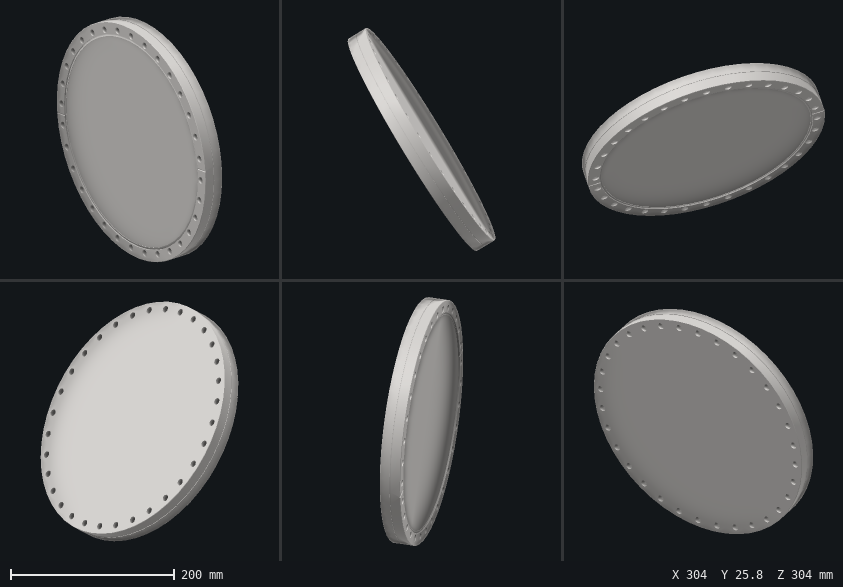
import cadquery as cq
import math

flange_diameter = 304.0
flange_radius = flange_diameter / 2
thickness = 25.8
front_y = -thickness / 2
back_y = thickness / 2
rim_chamfer = 0.5

rim_groove_width = 1.0
rim_groove_depth = 0.5

bolt_count = 32
bolt_pitch = 360 / bolt_count
bolt_circle_radius = 142.0
bolt_hole_diameter = 8.5

recess_diameter = 273.0
recess_radius = recess_diameter / 2
knife_radius = 133.8
knife_depth = 0.75
knife_angle = 20
centre_depth = 1.37
knife_fall = (recess_radius - knife_radius) * math.tan(math.radians(knife_angle))
recess_depth = knife_depth + knife_fall

leak_groove_radius = 1.05
leak_groove_angle = bolt_pitch / 2
leak_groove_overlap = 0.5


def flange_body():
    """Solid of revolution about Y, with the recess, rim groove and chamfers in the profile."""
    groove_floor_radius = flange_radius - rim_groove_depth
    groove_half_width = rim_groove_width / 2
    profile = (
        cq.Workplane("XY")
        .moveTo(0, front_y + centre_depth)
        .lineTo(knife_radius, front_y + centre_depth)
        .lineTo(knife_radius, front_y + knife_depth)
        .lineTo(recess_radius, front_y + recess_depth)
        .lineTo(recess_radius, front_y)
        .lineTo(flange_radius - rim_chamfer, front_y)
        .lineTo(flange_radius, front_y + rim_chamfer)
        .lineTo(flange_radius, -groove_half_width)
        .lineTo(groove_floor_radius, -groove_half_width)
        .lineTo(groove_floor_radius, groove_half_width)
        .lineTo(flange_radius, groove_half_width)
        .lineTo(flange_radius, back_y - rim_chamfer)
        .lineTo(flange_radius - rim_chamfer, back_y)
        .lineTo(0, back_y)
        .close()
    )
    return profile.revolve(360, (0, 0, 0), (0, 1, 0))


def bolt_holes():
    """Ring of through-hole cutters, starting on the X axis."""
    return (
        cq.Workplane("XZ")
        .polarArray(bolt_circle_radius, 0, 360, bolt_count)
        .circle(bolt_hole_diameter / 2)
        .extrude(thickness, both=True)
    )


def leak_groove(angle):
    """Radial round-bottomed cutter lying on the sealing face, at an angle from +X toward +Z."""
    inner_end = recess_radius - leak_groove_overlap
    outer_end = flange_radius + leak_groove_overlap
    return (
        cq.Workplane("YZ", origin=(inner_end, front_y, 0))
        .circle(leak_groove_radius)
        .extrude(outer_end - inner_end)
        .rotate((0, 0, 0), (0, 1, 0), -angle)
    )


result = flange_body().cut(bolt_holes())
for half_turn in (0, 180):
    result = result.cut(leak_groove(leak_groove_angle + half_turn))